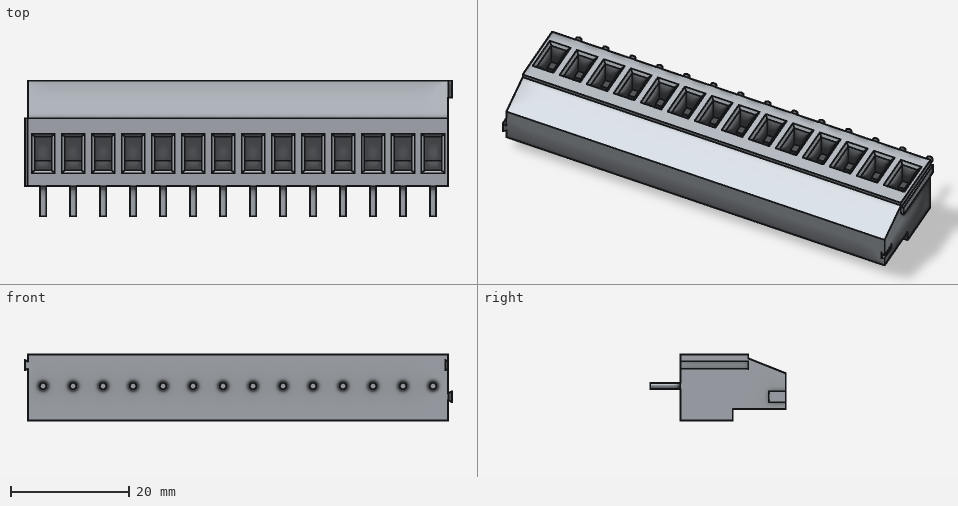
import cadquery as cq

OVERALL_LENGTH = 72.35
RAIL_DEPTH = 0.5
NUB_DEPTH = 0.65
BODY_LENGTH = OVERALL_LENGTH - RAIL_DEPTH - NUB_DEPTH
LEFT_END = -BODY_LENGTH / 2
RIGHT_END = BODY_LENGTH / 2

BODY_DEPTH = 17.9
BODY_HEIGHT = 11.2
TOP_DEPTH = 11.5
TOP_LIP = 0.65
REAR_HEIGHT = 8.0
BASE_DEPTH = 8.9
BASE_STEP = 1.95

TERMINAL_COUNT = 14
PIN_ROW_LENGTH = 66.05
PITCH = PIN_ROW_LENGTH / (TERMINAL_COUNT - 1)
PIN_DIAMETER = 1.1
PIN_LENGTH = 5.1
PIN_HEIGHT = 5.85

POCKET_WIDTH = 3.9
POCKET_FRONT = 2.2
POCKET_BACK = 8.9
POCKET_CHAMFER = 0.5
POCKET_DEPTH = 5.05
LEDGE_BACK = 4.3
LEDGE_HEIGHT = 0.7

RAIL_CENTRE_HEIGHT = 9.4
RAIL_NECK = 1.2
RAIL_WIDTH = 1.7

NUB_CENTRE_HEIGHT = 4.05
NUB_LENGTH = 2.9
NUB_NECK = 1.15
NUB_WIDTH = 1.9
SNAP_NECK = 0.65
SNAP_WIDTH = 1.3


def box(x_range, y_range, z_range):
    """Box spanning the given (low, high) ranges."""
    low, high = zip(x_range, y_range, z_range)
    size = [b - a for a, b in zip(low, high)]
    return cq.Workplane("XY").box(*size, centered=False).translate(low)


def housing():
    """Stepped side profile extruded along the full body length."""
    profile = [
        (0, 0),
        (BASE_DEPTH, 0),
        (BASE_DEPTH, BASE_STEP),
        (BODY_DEPTH, BASE_STEP),
        (BODY_DEPTH, REAR_HEIGHT),
        (TOP_DEPTH, BODY_HEIGHT - TOP_LIP),
        (TOP_DEPTH, BODY_HEIGHT),
        (0, BODY_HEIGHT),
    ]
    return cq.Workplane("YZ", origin=(LEFT_END, 0, 0)).polyline(profile).close().extrude(BODY_LENGTH)


def dovetail(neck_x, wide_x, height, neck, width, y_range):
    """Dovetail bar along Y, widening from neck_x to wide_x."""
    front, back = y_range
    section = [
        (neck_x, height - neck / 2),
        (wide_x, height - width / 2),
        (wide_x, height + width / 2),
        (neck_x, height + neck / 2),
    ]
    return cq.Workplane("XZ", origin=(0, front, 0)).polyline(section).close().extrude(front - back)


def top_rail(end_x):
    """Top rail shape growing in -X from the given body end."""
    return dovetail(end_x, end_x - RAIL_DEPTH, RAIL_CENTRE_HEIGHT, RAIL_NECK, RAIL_WIDTH, (0, TOP_DEPTH))


def rear_joint(end_x, neck, width):
    """Short rear dovetail growing in +X from the given body end."""
    y_range = (BODY_DEPTH - NUB_LENGTH, BODY_DEPTH)
    return dovetail(end_x, end_x + NUB_DEPTH, NUB_CENTRE_HEIGHT, neck, width, y_range)


def screw_pocket(x):
    """Chamfer-mouthed pocket with a raised ledge along the front of its floor."""
    length = POCKET_BACK - POCKET_FRONT
    centre_y = (POCKET_FRONT + POCKET_BACK) / 2
    inner_width = POCKET_WIDTH - 2 * POCKET_CHAMFER
    inner_length = length - 2 * POCKET_CHAMFER
    floor = BODY_HEIGHT - POCKET_DEPTH
    mouth = (
        cq.Workplane("XY", origin=(x, centre_y, BODY_HEIGHT))
        .rect(POCKET_WIDTH, length)
        .workplane(offset=-POCKET_CHAMFER)
        .rect(inner_width, inner_length)
        .loft(ruled=True)
    )
    x_range = (x - inner_width / 2, x + inner_width / 2)
    inner_front = POCKET_FRONT + POCKET_CHAMFER
    well = box(x_range, (inner_front, inner_front + inner_length), (floor, BODY_HEIGHT - POCKET_CHAMFER))
    ledge = box(x_range, (inner_front, LEDGE_BACK), (floor, floor + LEDGE_HEIGHT))
    return mouth.union(well.cut(ledge))


def pin(x):
    """Round solder pin standing out of the front face."""
    return cq.Workplane("XZ", origin=(x, 0, PIN_HEIGHT)).circle(PIN_DIAMETER / 2).extrude(PIN_LENGTH)


body = housing()
body = body.union(top_rail(LEFT_END)).cut(top_rail(RIGHT_END))
body = body.union(rear_joint(RIGHT_END, NUB_NECK, NUB_WIDTH))
body = body.cut(rear_joint(LEFT_END, SNAP_NECK, SNAP_WIDTH))

for index in range(TERMINAL_COUNT):
    terminal_x = index * PITCH - PIN_ROW_LENGTH / 2
    body = body.cut(screw_pocket(terminal_x)).union(pin(terminal_x))

result = body